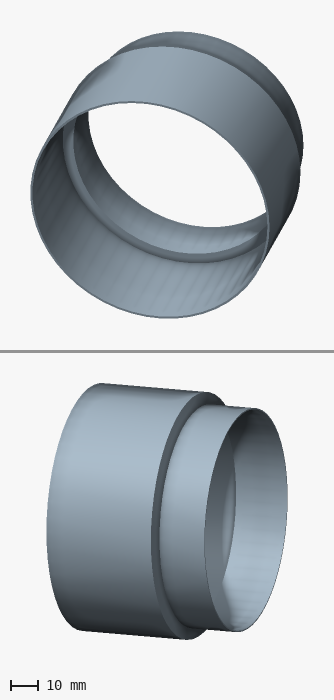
import cadquery as cq

length = 60.0
socket_outer_radius = 45.2
socket_wall = 0.8
spigot_outer_radius = 40.8
spigot_wall = 0.45
socket_length = 40.8
cone_length = 1.6
ledge_thickness = 0.8

socket_inner_radius = socket_outer_radius - socket_wall
bore_radius = spigot_outer_radius - spigot_wall
socket_depth = socket_length - ledge_thickness
cone_end = socket_length + cone_length

section = (
    cq.Workplane("XY")
    .moveTo(socket_inner_radius, 0)
    .lineTo(socket_outer_radius, 0)
    .lineTo(socket_outer_radius, socket_length)
    .lineTo(spigot_outer_radius, cone_end)
    .lineTo(spigot_outer_radius, length)
    .lineTo(bore_radius, length)
    .lineTo(bore_radius, socket_depth)
    .lineTo(socket_inner_radius, socket_depth)
    .close()
)

result = section.revolve(360, (0, 0, 0), (0, 1, 0))